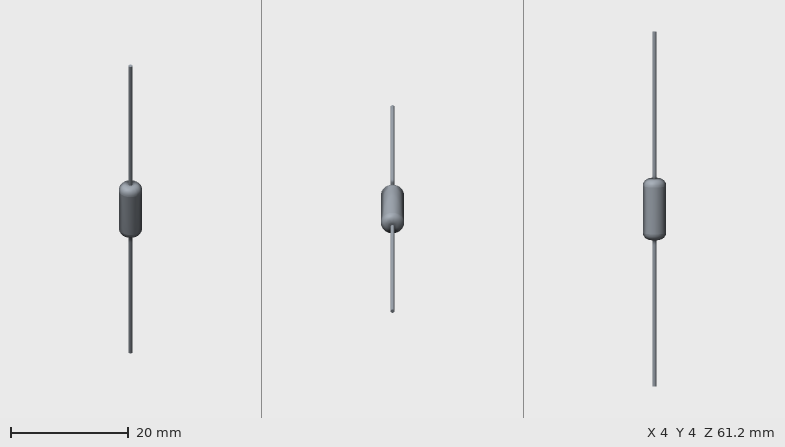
import cadquery as cq

lead_length = 61.2
lead_diameter = 0.7
body_length = 10.5
body_diameter = 4.0
body_edge_radius = 1.2


def centred_cylinder(diameter, length):
    """Cylinder along Z, centred on the origin."""
    return cq.Workplane("XY").cylinder(length, diameter / 2)


body = centred_cylinder(body_diameter, body_length).edges("%CIRCLE").fillet(body_edge_radius)
lead = centred_cylinder(lead_diameter, lead_length)

result = body.union(lead)